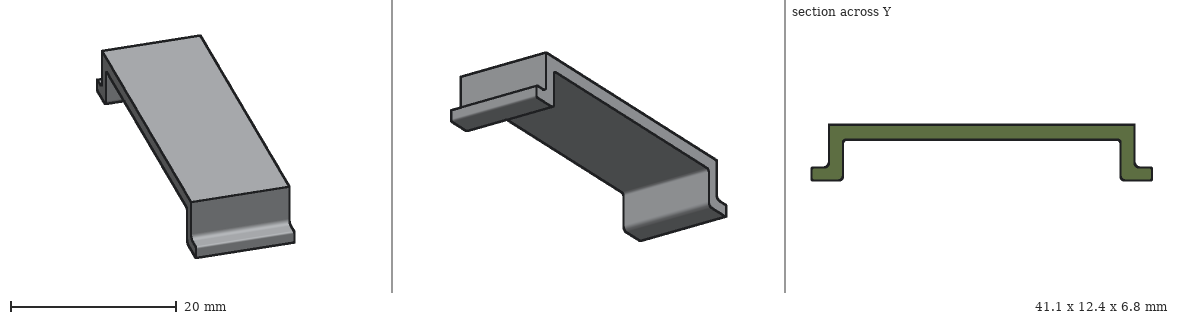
import cadquery as cq

length = 41.1
width = 12.4
height = 6.8

foot_reach = 2.1
foot_thickness = 1.6
wall_thickness = 1.73
top_thickness = 1.85

foot_root_radius = 0.6
heel_radius = 0.6
tip_radius = 0.25
inner_radius = 0.35

half_length = length / 2
outer_wall_x = half_length - foot_reach
inner_wall_x = outer_wall_x - wall_thickness
underside_z = height - top_thickness

right_half = [
    (outer_wall_x, height),
    (outer_wall_x, foot_thickness),
    (half_length, foot_thickness),
    (half_length, 0),
    (inner_wall_x, 0),
    (inner_wall_x, underside_z),
]
left_half = [(-x, z) for x, z in reversed(right_half)]

bridge = (
    cq.Workplane("XZ")
    .polyline(right_half + left_half)
    .close()
    .extrude(width / 2, both=True)
)


def round_corners(body, x, z, radius):
    """Fillet the edges along Y at section point (x, z) and its mirror image."""
    for side in (-1, 1):
        corner = cq.selectors.NearestToPointSelector((side * x, 0, z))
        body = body.edges("|Y").edges(corner).fillet(radius)
    return body


bridge = round_corners(bridge, outer_wall_x, foot_thickness, foot_root_radius)
bridge = round_corners(bridge, inner_wall_x, 0, heel_radius)
bridge = round_corners(bridge, half_length, foot_thickness, tip_radius)
bridge = round_corners(bridge, half_length, 0, tip_radius)
bridge = round_corners(bridge, inner_wall_x, underside_z, inner_radius)

result = bridge